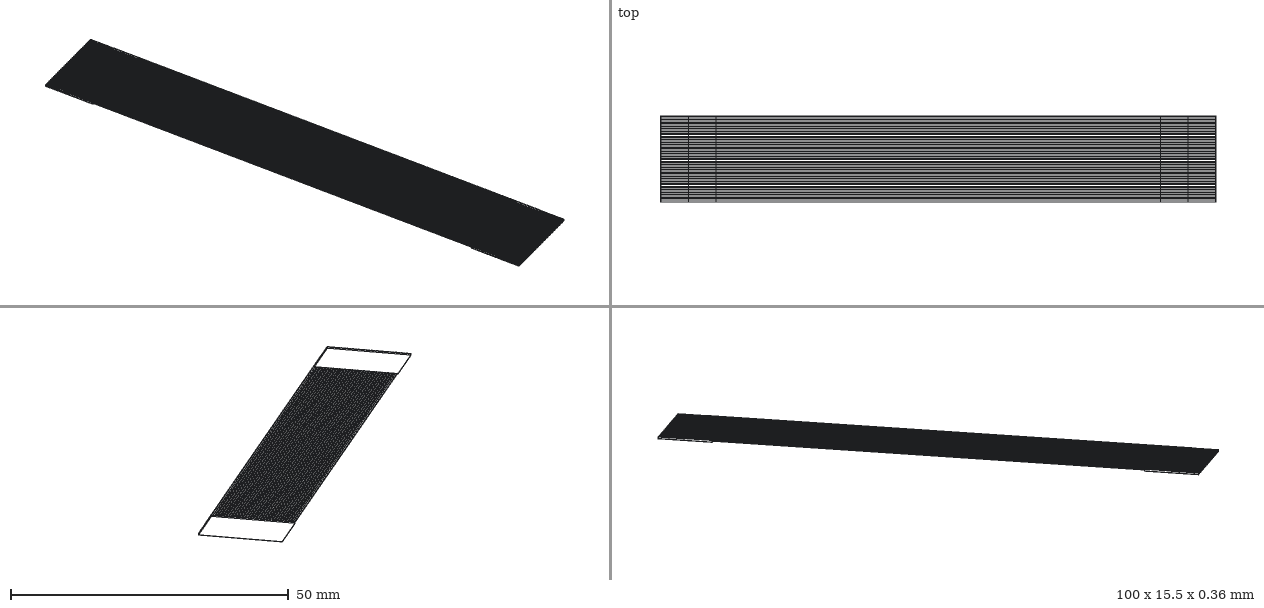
import cadquery as cq

cable_length = 100.0
cable_width = 15.5
end_thickness = 0.36

stiffener_length = 10.0
stiffener_thickness = 0.22
cover_film_thickness = 0.04

channel_count = 30
channel_pitch = cable_width / (channel_count + 1)
channel_width = 0.3
channel_depth = 0.05
exposed_length = 5.0

base_film_top = end_thickness - cover_film_thickness
base_film_thickness = base_film_top - stiffener_thickness
channel_floor = base_film_top - channel_depth


def strip(length, width, thickness, bottom, x=0.0):
    """Flat strip centred on (x, 0) with its underside at the given height."""
    block = cq.Workplane("XY").box(length, width, thickness, centered=(True, True, False))
    return block.translate((x, 0, bottom))


base_film = strip(cable_length, cable_width, base_film_thickness, stiffener_thickness)

channels = (
    cq.Workplane("XY", origin=(0, 0, channel_floor))
    .rarray(1, channel_pitch, 1, channel_count)
    .rect(cable_length, channel_width)
    .extrude(channel_depth)
)
cable = base_film.cut(channels)

cover_length = cable_length - 2 * exposed_length
cable = cable.union(strip(cover_length, cable_width, cover_film_thickness, base_film_top))

stiffener_offset = (cable_length - stiffener_length) / 2
for x in (-stiffener_offset, stiffener_offset):
    cable = cable.union(strip(stiffener_length, cable_width, stiffener_thickness, 0, x))

result = cable